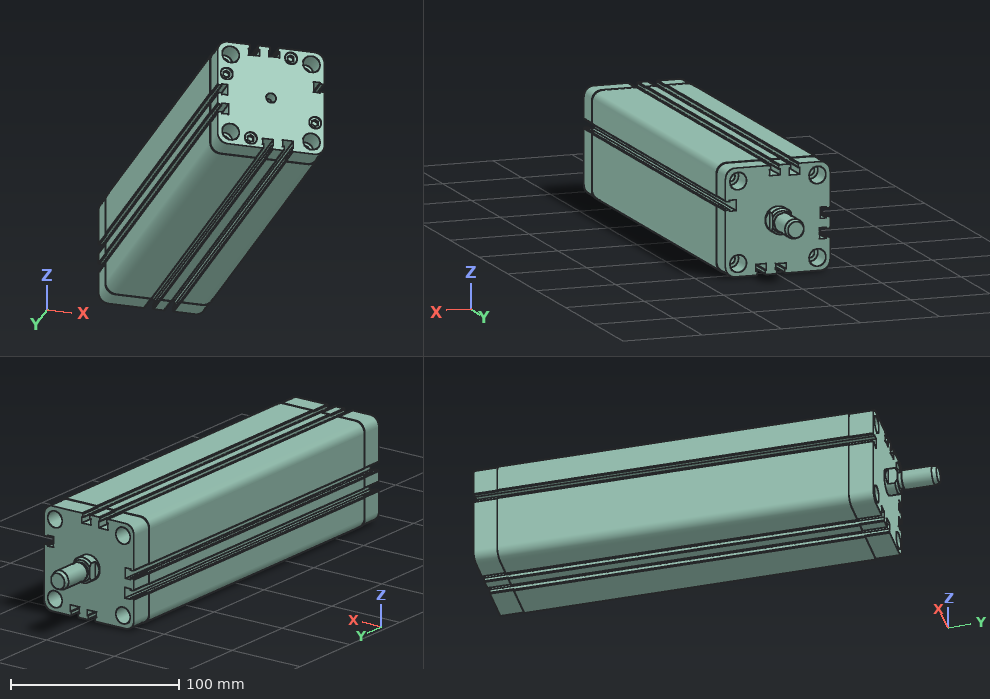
import cadquery as cq

total_length = 277.0
rod_length = 31.3
rear_cap_length = 14.7
front_cap_length = 15.0
front_face = total_length - rod_length
barrel_end = front_face - front_cap_length

barrel_width = 67.0
barrel_corner_radius = 6.6
cap_width = 66.2
cap_corner_radius = barrel_corner_radius - (barrel_width - cap_width) / 2

neck_width = 5.0
neck_depth = 3.0
mouth_chamfer = 0.5
slot_width = 6.6
outer_slot_offset = 10.5
inner_slot_offset = 2.0
outer_slot_floor = 26.3
inner_slot_floor = 27.0
slot_sides = 4
inner_slot_sides = 3

mount_pitch = 50.0
mount_hole_diameter = 6.0
mount_counterbore_diameter = 10.5
mount_counterbore_depth = 13.8

center_hole_diameter = 6.0
center_hole_depth = 8.3

screw_side_offset = 27.5
screw_along_offset = 12.5
screw_recess_diameter = 7.5
screw_recess_depth = 0.8
socket_diameter = 4.5
socket_depth = 2.8

rod_diameter = 12.0
tip_diameter = 10.0
tip_chamfer_length = 2.8
thread_length = 21.3
thread_groove_diameter = 10.0
thread_groove_length = 2.5
collar_diameter = 16.0
collar_chamfer = 1.5
flat_distance = 12.0
flat_length = 5.5
flat_ramp_length = 1.0


def rear_plane(y=0.0):
    """Sketch plane across the body with local axes X and Z; negative extrusions go towards +Y."""
    return cq.Workplane("XZ", origin=(0, y, 0))


def rounded_block(width, radius, start, end):
    block = rear_plane(start).rect(width, width).extrude(start - end)
    return block.edges("|Y").fillet(radius)


def t_slot(offset, floor):
    """T-slot cutter open towards +Z, with a chamfered mouth along both the caps and the barrel."""
    lip = barrel_width / 2 - neck_depth
    chamber = rear_plane().center(offset, (floor + lip) / 2).rect(slot_width, lip - floor)
    cutter = chamber.extrude(-front_face)
    stretches = [
        (0, rear_cap_length, cap_width / 2),
        (rear_cap_length, barrel_end, barrel_width / 2),
        (barrel_end, front_face, cap_width / 2),
    ]
    half_neck = neck_width / 2
    half_mouth = half_neck + mouth_chamfer
    for start, end, surface in stretches:
        outline = [
            (offset - half_neck, floor),
            (offset - half_neck, surface - mouth_chamfer),
            (offset - half_mouth, surface),
            (offset + half_mouth, surface),
            (offset + half_neck, surface - mouth_chamfer),
            (offset + half_neck, floor),
        ]
        cutter = cutter.union(rear_plane(start).polyline(outline).close().extrude(start - end))
    return cutter


def turned(cutter, quarter_turns):
    """Turn a feature from the top side to another side of the body."""
    return cutter.rotate((0, 0, 0), (0, 1, 0), -90 * quarter_turns)


def body():
    barrel = rounded_block(barrel_width, barrel_corner_radius, rear_cap_length, barrel_end)
    core = rounded_block(cap_width, cap_corner_radius, 0, front_face)
    return barrel.union(core)


def mounting_holes():
    """Through holes with a counterbore at both ends."""

    def corner_cylinders(diameter, start, length):
        corners = rear_plane(start).rect(mount_pitch, mount_pitch, forConstruction=True).vertices()
        return corners.circle(diameter / 2).extrude(-length)

    holes = corner_cylinders(mount_hole_diameter, 0, front_face)
    for start in (0, front_face - mount_counterbore_depth):
        counterbores = corner_cylinders(mount_counterbore_diameter, start, mount_counterbore_depth)
        holes = holes.union(counterbores)
    return holes


def screw_recesses():
    """Four round recesses, each with a hexagonal socket whose corners point along Z."""
    along, side = screw_along_offset, screw_side_offset
    centers = [(along, side), (side, -along), (-along, -side), (-side, along)]
    recesses = rear_plane().pushPoints(centers).circle(screw_recess_diameter / 2)
    socket = rear_plane().polygon(6, socket_diameter).extrude(-socket_depth)
    socket = socket.rotate((0, 0, 0), (0, 1, 0), 30)
    cutter = recesses.extrude(-screw_recess_depth)
    for x, z in centers:
        cutter = cutter.union(socket.translate((x, 0, z)))
    return cutter


def piston_rod():
    """Stepped rod whose collar has two wrench flats facing along X."""
    radius = rod_diameter / 2
    groove_start = total_length - thread_length
    groove_end = groove_start - thread_groove_length
    collar_radius = collar_diameter / 2
    half_profile = [
        (0, barrel_end),
        (collar_radius, barrel_end),
        (collar_radius, groove_end - collar_chamfer),
        (collar_radius - collar_chamfer, groove_end),
        (thread_groove_diameter / 2, groove_end),
        (thread_groove_diameter / 2, groove_start),
        (radius, groove_start),
        (radius, total_length - tip_chamfer_length),
        (tip_diameter / 2, total_length),
        (0, total_length),
    ]
    rod = cq.Workplane("XY").polyline(half_profile).close().revolve(360, (0, 0, 0), (0, 1, 0))
    flat_start = groove_end - flat_length
    flat_outline = [
        (flat_distance / 2, groove_end),
        (flat_distance / 2, flat_start),
        (collar_radius, flat_start - flat_ramp_length),
        (collar_radius, groove_end),
    ]
    flat = cq.Workplane("XY").polyline(flat_outline).close().extrude(collar_radius, both=True)
    return rod.cut(flat).cut(flat.mirror("YZ"))


result = body()
for turn in range(slot_sides):
    result = result.cut(turned(t_slot(-outer_slot_offset, outer_slot_floor), turn))
for turn in range(inner_slot_sides):
    result = result.cut(turned(t_slot(inner_slot_offset, inner_slot_floor), turn))
result = result.cut(screw_recesses())
result = result.cut(mounting_holes())
result = result.cut(rear_plane().circle(center_hole_diameter / 2).extrude(-center_hole_depth))
result = result.union(piston_rod())